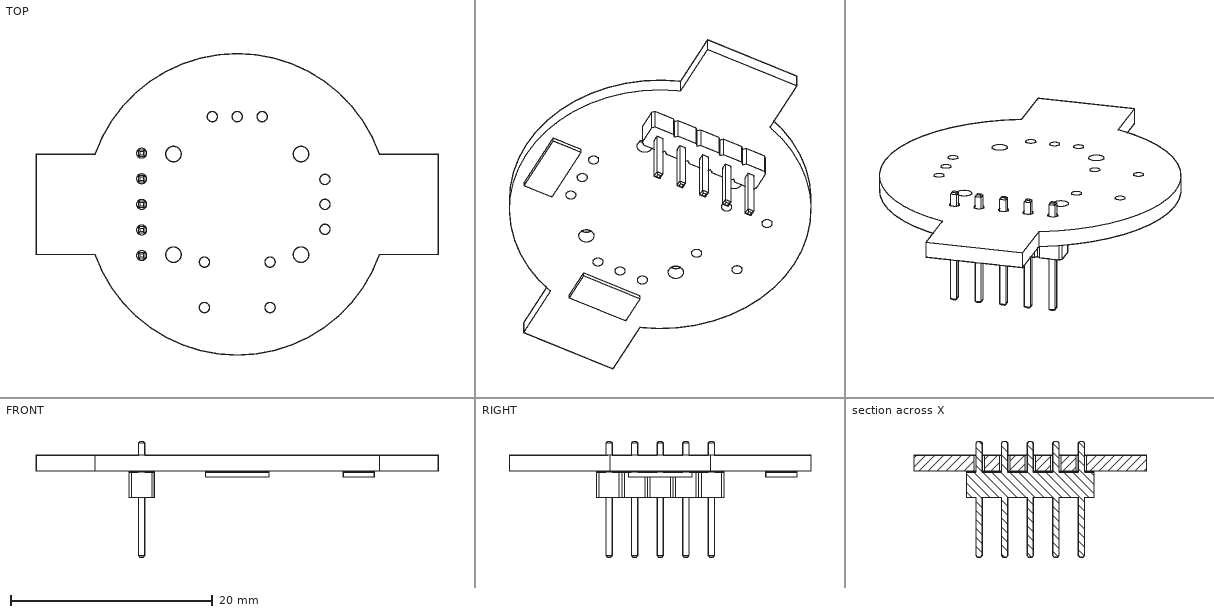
import cadquery as cq

board_length = 40.0
board_diameter = 30.0
tab_width = 10.0
board_thickness = 1.6
underside_gap = 0.1

small_hole_diameter = 1.0
mounting_hole_diameter = 1.5
mounting_spacing_x = 12.7
mounting_spacing_y = 10.0
triple_hole_pitch = 2.5
triple_hole_offset = 8.7
switch_hole_spacing_x = 6.5
switch_hole_spacing_y = 4.5
switch_center_y = -8.0

pin_count = 5
header_length = 12.7
pin_pitch = header_length / pin_count
header_to_mounting_holes = 3.15
header_x = -mounting_spacing_x / 2 - header_to_mounting_holes
block_height = 2.5
block_chamfer = 0.26
pin_width = 0.65
pin_length = 11.5
pin_tip_chamfer = 0.15
pin_rise = 1.35

plate_length = 6.3
plate_width = 3.1
plate_thickness = 0.5
back_plate_y = 12.05
side_plate_x = 12.1

pin_ys = [(i - (pin_count - 1) / 2) * pin_pitch for i in range(pin_count)]
pin_points = [(header_x, y) for y in pin_ys]
triple_steps = [-triple_hole_pitch, 0, triple_hole_pitch]


def drill(body, points, diameter):
    """Cut round through holes at the given XY points of the board."""
    cutters = cq.Workplane("XY").pushPoints(points).circle(diameter / 2).extrude(board_thickness)
    return body.cut(cutters)


def rectangle_corners(center_y, spacing_x, spacing_y):
    """Corner points of a rectangle centred on X = 0."""
    return [(sx * spacing_x / 2, center_y + sy * spacing_y / 2) for sx in (-1, 1) for sy in (-1, 1)]


def make_board():
    disc = cq.Workplane("XY").circle(board_diameter / 2).extrude(board_thickness)
    tabs = cq.Workplane("XY").rect(board_length, tab_width).extrude(board_thickness)
    body = disc.union(tabs)

    mounting_points = rectangle_corners(0, mounting_spacing_x, mounting_spacing_y)
    body = drill(body, mounting_points, mounting_hole_diameter)

    back_row = [(step, triple_hole_offset) for step in triple_steps]
    side_row = [(triple_hole_offset, step) for step in triple_steps]
    switch_points = rectangle_corners(switch_center_y, switch_hole_spacing_x, switch_hole_spacing_y)
    return drill(body, pin_points + back_row + side_row + switch_points, small_hole_diameter)


def make_header():
    """Blocks and pins form one solid; the pins pass through the board."""
    block = (
        cq.Workplane("XY", origin=(0, 0, -underside_gap))
        .rect(pin_pitch, pin_pitch)
        .extrude(-block_height)
        .edges("|Z")
        .chamfer(block_chamfer)
    )
    pin = (
        cq.Workplane("XY", origin=(0, 0, board_thickness + pin_rise))
        .rect(pin_width, pin_width)
        .extrude(-pin_length)
        .faces("<Z or >Z")
        .chamfer(pin_tip_chamfer)
    )
    unit = block.union(pin)
    header = unit.translate((*pin_points[0], 0))
    for x, y in pin_points[1:]:
        header = header.union(unit.translate((x, y, 0)))
    return header


def make_plate(x, y, size_x, size_y):
    """Plate just under the board, centred at (x, y)."""
    return cq.Workplane("XY", origin=(x, y, -underside_gap)).rect(size_x, size_y).extrude(-plate_thickness)


board = make_board()
header = make_header()
plate_layouts = [
    (0, back_plate_y, plate_length, plate_width),
    (side_plate_x, 0, plate_width, plate_length),
]
plates = [make_plate(*layout) for layout in plate_layouts]

result = cq.Compound.makeCompound([board.val(), header.val(), *[plate.val() for plate in plates]])